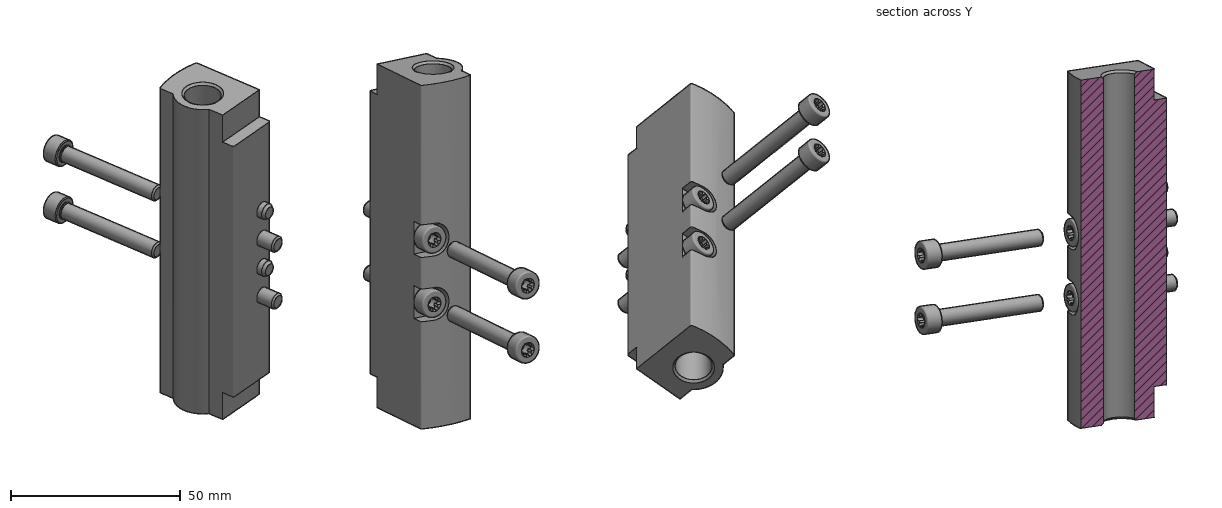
import cadquery as cq

HOUSING_LENGTH = 107.0
CROWN_X = -13.0
CROWN_RISE = 1.2
BACK_Y = 12.0
FRONT_Y = -5.6
CROWN_CORNER_RADIUS = 0.5
STEP_X = 11.9
TONGUE_X = 15.9
TONGUE_LENGTH = 88.1
TONGUE_CORNER_RADIUS = 0.6
LOBE_DIAMETER = 17.4
BORE_DIAMETER = 10.9
BORE_MOUTH_DIAMETER = 12.3

ROW_Y = 8.0
SCREW_PITCH = 20.0
ROW_SPACING = SCREW_PITCH / 2
SCREW_HEIGHTS = (0.5 * ROW_SPACING, -1.5 * ROW_SPACING)
PIN_HEIGHTS = (1.5 * ROW_SPACING, -0.5 * ROW_SPACING)

THREAD_DIAMETER = 5.0
NECK_DIAMETER = 5.5
NECK_LENGTH = 0.2
NECK_TAPER_LENGTH = 0.3
SCREW_TIP_CHAMFER = 0.5
HEAD_DIAMETER = 8.5
HEAD_LENGTH = 5.0
HEAD_FACE_FILLET = 0.5
HEAD_UNDERSIDE_CHAMFER = 0.3
FITTED_HEAD_X = CROWN_X
FITTED_TIP_X = 21.9
FITTED_SHANK_LENGTH = FITTED_TIP_X - FITTED_HEAD_X - HEAD_LENGTH
LOOSE_HEAD_X = -63.0
LOOSE_SHANK_LENGTH = 35.0
HEAD_SLOT_WIDTH = 10.2

SOCKET_CORE_RADIUS = 1.6
SOCKET_LOBE_COUNT = 6
SOCKET_LOBE_RADIUS = 0.5
SOCKET_MOUTH_RADIUS = 2.2
SOCKET_MOUTH_DEPTH = 0.3
SOCKET_WALL_DEPTH = 1.9
SOCKET_CONE_DEPTH = 1.0

PIN_DIAMETER = THREAD_DIAMETER
PIN_TIP_X = 18.7
PIN_INNER_X = 8.6
PIN_CHAMFER_LENGTH = 1.0
PIN_CHAMFER_DEPTH = 0.6


def turned(profile):
    """Solid of revolution about X from (x, radius) points between its two ends on the axis."""
    return cq.Workplane("XY").polyline(profile).close().revolve(360, (0, 0, 0), (1, 0, 0))


def on_row(body, x, z):
    """Move a body from the X axis to its place on the screw and pin row."""
    return body.translate((x, ROW_Y, z))


def drive_socket():
    """Socket cutter, open at X = 0 and ending in a cone."""
    depth = SOCKET_WALL_DEPTH + SOCKET_CONE_DEPTH
    core = cq.Workplane("YZ").circle(SOCKET_CORE_RADIUS).extrude(depth)
    lobe_centers = cq.Workplane("YZ").polarArray(
        SOCKET_MOUTH_RADIUS - SOCKET_LOBE_RADIUS, 0, 360, SOCKET_LOBE_COUNT
    )
    star = core.union(lobe_centers.circle(SOCKET_LOBE_RADIUS).extrude(depth))
    envelope = turned([
        (0, 0),
        (0, SOCKET_MOUTH_RADIUS),
        (SOCKET_WALL_DEPTH, SOCKET_MOUTH_RADIUS),
        (depth, 0),
    ])
    mouth = turned([
        (0, 0),
        (0, SOCKET_MOUTH_RADIUS),
        (SOCKET_MOUTH_DEPTH, SOCKET_CORE_RADIUS),
        (SOCKET_MOUTH_DEPTH, 0),
    ])
    return star.intersect(envelope).union(mouth)


def screw_shank(length):
    """Shank with a tapered neck and a chamfered tip, starting under the head."""
    thread_radius = THREAD_DIAMETER / 2
    neck_end = HEAD_LENGTH + NECK_LENGTH
    end = HEAD_LENGTH + length
    return turned([
        (HEAD_LENGTH, 0),
        (HEAD_LENGTH, NECK_DIAMETER / 2),
        (neck_end, NECK_DIAMETER / 2),
        (neck_end + NECK_TAPER_LENGTH, thread_radius),
        (end - SCREW_TIP_CHAMFER, thread_radius),
        (end, thread_radius - SCREW_TIP_CHAMFER),
        (end, 0),
    ])


def cap_screw(shank_length):
    """Cap screw along +X with its head face at X = 0."""
    head = cq.Workplane("YZ").circle(HEAD_DIAMETER / 2).extrude(HEAD_LENGTH)
    head = head.faces("<X").edges().fillet(HEAD_FACE_FILLET)
    head = head.faces(">X").edges().chamfer(HEAD_UNDERSIDE_CHAMFER)
    return head.union(screw_shank(shank_length)).cut(drive_socket())


def locating_pin():
    """Pin along X, chamfered at its outer end only."""
    radius = PIN_DIAMETER / 2
    length = PIN_TIP_X - PIN_INNER_X
    return turned([
        (0, 0),
        (0, radius),
        (length - PIN_CHAMFER_LENGTH, radius),
        (length, radius - PIN_CHAMFER_DEPTH),
        (length, 0),
    ])


def head_slot():
    """Round-ended cutter that seats a screw head and opens to the back of the housing."""
    seat = cq.Workplane("YZ").circle(HEAD_SLOT_WIDTH / 2).extrude(HEAD_LENGTH)
    opening = cq.Workplane("XY").box(
        HEAD_LENGTH, HEAD_SLOT_WIDTH, HEAD_SLOT_WIDTH, centered=(False, False, True)
    )
    return seat.union(opening)


def housing_blank():
    """Crowned body, shorter tongue and round lobe, before any holes."""
    corner_x = CROWN_X + CROWN_RISE
    body = (
        cq.Workplane("XY")
        .moveTo(corner_x, FRONT_Y)
        .lineTo(STEP_X, FRONT_Y)
        .lineTo(STEP_X, BACK_Y)
        .lineTo(corner_x, BACK_Y)
        .threePointArc((CROWN_X, (FRONT_Y + BACK_Y) / 2), (corner_x, FRONT_Y))
        .close()
        .extrude(HOUSING_LENGTH / 2, both=True)
    )
    body = body.edges("|Z").edges("<X").fillet(CROWN_CORNER_RADIUS)
    tongue = (
        cq.Workplane("XY")
        .box(TONGUE_X - STEP_X, BACK_Y - FRONT_Y, TONGUE_LENGTH)
        .edges("|Z").edges(">X").fillet(TONGUE_CORNER_RADIUS)
        .translate(((STEP_X + TONGUE_X) / 2, (FRONT_Y + BACK_Y) / 2, 0))
    )
    lobe = cq.Workplane("XY").circle(LOBE_DIAMETER / 2).extrude(HOUSING_LENGTH / 2, both=True)
    return body.union(tongue).union(lobe)


def main_bore():
    """Through bore cutter with a 45-degree chamfer at both ends."""
    half_length = HOUSING_LENGTH / 2
    bore_radius = BORE_DIAMETER / 2
    mouth_radius = BORE_MOUTH_DIAMETER / 2
    chamfer_start = half_length - (mouth_radius - bore_radius)
    return (
        cq.Workplane("XZ")
        .polyline([
            (0, -half_length),
            (mouth_radius, -half_length),
            (bore_radius, -chamfer_start),
            (bore_radius, chamfer_start),
            (mouth_radius, half_length),
            (0, half_length),
        ])
        .close()
        .revolve(360, (0, 0, 0), (0, 1, 0))
    )


def make_housing():
    """Housing with its bore, screw holes, head slots and blind pin holes."""
    body = housing_blank().cut(main_bore())
    for z in SCREW_HEIGHTS:
        body = body.cut(on_row(head_slot(), FITTED_HEAD_X, z))
        body = body.cut(on_row(screw_shank(FITTED_SHANK_LENGTH), FITTED_HEAD_X, z))
    for z in PIN_HEIGHTS:
        body = body.cut(on_row(locating_pin(), PIN_INNER_X, z))
    return body


housing = make_housing()
fitted_screws = [on_row(cap_screw(FITTED_SHANK_LENGTH), FITTED_HEAD_X, z) for z in SCREW_HEIGHTS]
loose_screws = [on_row(cap_screw(LOOSE_SHANK_LENGTH), LOOSE_HEAD_X, z) for z in SCREW_HEIGHTS]
locating_pins = [on_row(locating_pin(), PIN_INNER_X, z) for z in PIN_HEIGHTS]

result = cq.Compound.makeCompound([
    housing.solids().val(),
    *[screw.solids().val() for screw in fitted_screws],
    *[screw.solids().val() for screw in loose_screws],
    *[pin.solids().val() for pin in locating_pins],
])